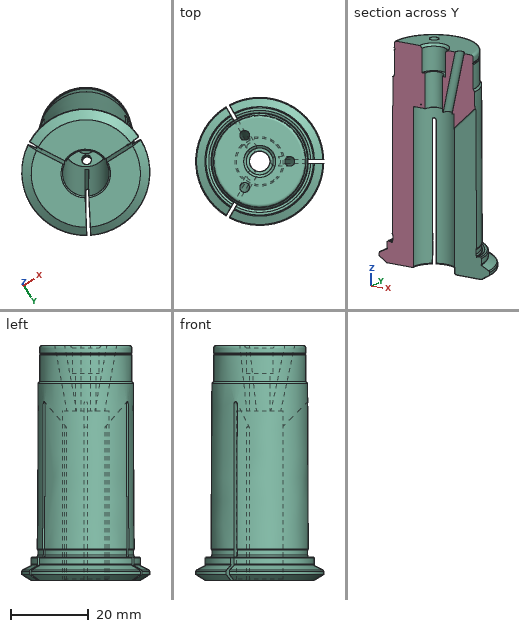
import cadquery as cq
import math

HEIGHT = 60.5
FLANGE_R = 33.0 / 2

FLANGE_BOTTOM_R = 14.05
LOWER_CONE_TOP_Z = 1.6
FLANGE_RIM_TOP_Z = 2.35
RIM_CHAMFER_Z = 2.7
RIM_CHAMFER = 0.25
COLLAR_R = 14.1
COLLAR_GROOVE_R = 13.9
CONE_TOP_Z = 3.95
COLLAR_BASE_Z = 4.25
COLLAR_TOP_Z = 6.05
COLLAR_EDGE = 0.3
COLLAR_RECESS_R = 13.1
COLLAR_RECESS_DEPTH = 0.25

BODY_BASE_R = 12.5
BODY_UPPER_R = 12.35
RELIEF_R = 12.35
RELIEF_BASE_Z = 6.6
RELIEF_TOP_Z = 7.8
BODY_BASE_Z = 8.15
BODY_TOP_Z = 50.65

HEAD_R = 23.8 / 2
HEAD_BASE_Z = 51.25
HEAD_ROUND = 0.8
RING_GROOVE_LOW_Z = 57.95
RING_GROOVE_HIGH_Z = 58.55
RING_GROOVE_DEPTH = 0.2

BORE_R = 12.0 / 2
BORE_MOUTH_R = 6.35
BORE_TOP_Z = 43.55
CENTER_HOLE_D = 5.2
COUNTERBORE_D = 6.9
COUNTERSINK_D = 8.2
COUNTERBORE_DEPTH = 7.25

ANGLES = (0, 120, 240)
SLOT_WIDTH = 0.95
SLOT_TOP_Z = 46.0
SLOT_INNER_R = 4.85
SLOT_END_SLOPE = 45.0
DRILL_D = 2.5
DRILL_CIRCLE_R = 7.75
DRILL_TILT = 12.0

CLEARANCE = 1.2


def outer_body():
    """Revolve the flange, collar, sleeve and head as one solid."""
    groove_mid_z = (RING_GROOVE_LOW_Z + RING_GROOVE_HIGH_Z) / 2
    round_mid = HEAD_ROUND * math.sqrt(0.5)
    return (
        cq.Workplane("XZ")
        .lineTo(FLANGE_BOTTOM_R, 0)
        .lineTo(FLANGE_R, LOWER_CONE_TOP_Z)
        .lineTo(FLANGE_R, FLANGE_RIM_TOP_Z)
        .lineTo(FLANGE_R - RIM_CHAMFER, RIM_CHAMFER_Z)
        .lineTo(COLLAR_GROOVE_R, CONE_TOP_Z)
        .lineTo(COLLAR_R, COLLAR_BASE_Z)
        .lineTo(COLLAR_R, COLLAR_TOP_Z - COLLAR_EDGE)
        .lineTo(COLLAR_R - COLLAR_EDGE, COLLAR_TOP_Z)
        .lineTo(COLLAR_RECESS_R, COLLAR_TOP_Z)
        .lineTo(BODY_BASE_R, COLLAR_TOP_Z - COLLAR_RECESS_DEPTH)
        .lineTo(BODY_BASE_R, COLLAR_TOP_Z)
        .lineTo(RELIEF_R, RELIEF_BASE_Z)
        .lineTo(RELIEF_R, RELIEF_TOP_Z)
        .lineTo(BODY_BASE_R, BODY_BASE_Z)
        .lineTo(BODY_UPPER_R, BODY_TOP_Z)
        .lineTo(HEAD_R, HEAD_BASE_Z)
        .lineTo(HEAD_R, RING_GROOVE_LOW_Z)
        .lineTo(HEAD_R - RING_GROOVE_DEPTH, groove_mid_z)
        .lineTo(HEAD_R, RING_GROOVE_HIGH_Z)
        .lineTo(HEAD_R, HEIGHT - HEAD_ROUND)
        .threePointArc(
            (HEAD_R - HEAD_ROUND + round_mid, HEIGHT - HEAD_ROUND + round_mid),
            (HEAD_R - HEAD_ROUND, HEIGHT),
        )
        .lineTo(0, HEIGHT)
        .close()
        .revolve(360, (0, 0, 0), (0, 1, 0))
    )


def clamping_bore():
    """Blind bore from below, chamfered at its mouth."""
    return (
        cq.Workplane("XZ")
        .lineTo(BORE_MOUTH_R, 0)
        .lineTo(BORE_R, BORE_MOUTH_R - BORE_R)
        .lineTo(BORE_R, BORE_TOP_Z)
        .lineTo(0, BORE_TOP_Z)
        .close()
        .revolve(360, (0, 0, 0), (0, 1, 0))
    )


def slot_cutter():
    """Radial slot along +X with a round end that slopes down toward the axis."""
    outer_r = FLANGE_R + CLEARANCE
    slope = math.radians(SLOT_END_SLOPE)
    half_width = SLOT_WIDTH / 2
    end_center_z = SLOT_TOP_Z - half_width / math.cos(slope)
    inner_z = end_center_z - (BODY_UPPER_R - SLOT_INNER_R) * math.tan(slope)
    end_r = BODY_UPPER_R + CLEARANCE
    end_z = end_center_z + CLEARANCE * math.tan(slope)
    saw_cut = (
        cq.Workplane("XZ")
        .polyline(
            [
                (SLOT_INNER_R, -CLEARANCE),
                (outer_r, -CLEARANCE),
                (outer_r, end_z),
                (end_r, end_z),
                (SLOT_INNER_R, inner_z),
            ]
        )
        .close()
        .extrude(half_width, both=True)
    )
    round_end = cq.Workplane(
        cq.Solid.makeCylinder(
            half_width,
            math.hypot(end_r - SLOT_INNER_R, end_z - inner_z),
            cq.Vector(SLOT_INNER_R, 0, inner_z),
            cq.Vector(math.cos(slope), 0, math.sin(slope)),
        )
    )
    return saw_cut.union(round_end)


def inclined_drill():
    """Hole from the top face to the clamping bore, leaning inward as it descends."""
    tilt = math.radians(DRILL_TILT)
    start_r = DRILL_CIRCLE_R + CLEARANCE * math.sin(tilt)
    length = (HEIGHT - BORE_TOP_Z) / math.cos(tilt) + 2 * CLEARANCE
    start_z = HEIGHT + CLEARANCE * math.cos(tilt)
    return cq.Workplane(
        cq.Solid.makeCylinder(
            DRILL_D / 2,
            length,
            cq.Vector(start_r, 0, start_z),
            cq.Vector(-math.sin(tilt), 0, -math.cos(tilt)),
        )
    )


result = outer_body().cut(clamping_bore())

result = (
    result.faces(">Z").workplane(origin=(0, 0, HEIGHT))
    .cboreHole(CENTER_HOLE_D, COUNTERBORE_D, COUNTERBORE_DEPTH)
)
countersink = (
    cq.Workplane("XY", origin=(0, 0, HEIGHT))
    .circle(COUNTERSINK_D / 2)
    .extrude(-(COUNTERSINK_D - COUNTERBORE_D) / 2, taper=45)
)
result = result.cut(countersink)

for angle in ANGLES:
    for cutter in (slot_cutter(), inclined_drill()):
        result = result.cut(cutter.rotate((0, 0, 0), (0, 0, 1), angle))